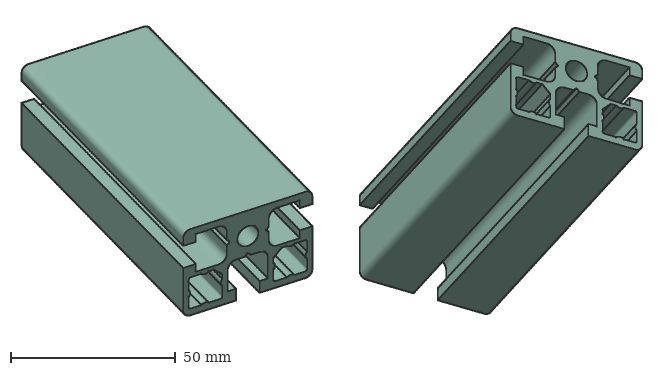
import cadquery as cq

length = 100.0
width = 45.0
height = 32.0
corner_radius = 2.5

slot_opening = 8.2
slot_width = 14.0
slot_depth = 15.2
lip_thickness = 4.4
slot_corner_radius = 3.0
groove_depth = 1.0

core_diameter = 7.3
core_z = height / 2 - 9.5

side_wall = 1.9
bottom_wall = 2.5
chamber_width = 11.7
chamber_height = 11.6
chamber_chamfer = 2.8
chamber_corner_radius = 0.8
rib_inset = 7.6
rib_half_width = 1.3
rib_height = 0.5

overlap = 1.0


def section():
    """Sketch plane across the extrusion: local x is Y, local y is Z."""
    return cq.Workplane("YZ").workplane(offset=-length / 2)


def bottom_slot_cutter():
    """T-slot cutter opening downward from the plane z = 0."""
    neck = section().center(0, (lip_thickness - overlap) / 2)
    neck = neck.rect(slot_opening, lip_thickness + overlap).extrude(length)
    chamber = section().center(0, (lip_thickness + slot_depth) / 2)
    chamber = chamber.rect(slot_width, slot_depth - lip_thickness).extrude(length)
    chamber = chamber.edges("|X and >Z").fillet(slot_corner_radius)
    groove = (
        section()
        .moveTo(-groove_depth, slot_depth)
        .lineTo(0, slot_depth + groove_depth)
        .lineTo(groove_depth, slot_depth)
        .close()
        .extrude(length)
    )
    return neck.union(chamber).union(groove)


def chamber_cutter():
    """Ribbed hollow of the +Y lower corner."""
    outer = width / 2 - side_wall
    inner = outer - chamber_width
    bottom = -height / 2 + bottom_wall
    top = bottom + chamber_height
    rib_y = width / 2 - rib_inset
    middle_z = (bottom + top) / 2
    cutter = (
        section()
        .moveTo(inner, bottom)
        .lineTo(rib_y - rib_half_width, bottom)
        .threePointArc((rib_y, bottom + rib_height), (rib_y + rib_half_width, bottom))
        .lineTo(outer, bottom)
        .lineTo(outer, middle_z - rib_half_width)
        .threePointArc((outer - rib_height, middle_z), (outer, middle_z + rib_half_width))
        .lineTo(outer, top)
        .lineTo(rib_y + rib_half_width, top)
        .threePointArc((rib_y, top - rib_height), (rib_y - rib_half_width, top))
        .lineTo(inner + chamber_chamfer, top)
        .lineTo(inner, top - chamber_chamfer)
        .lineTo(inner, middle_z + rib_half_width)
        .threePointArc((inner + rib_height, middle_z), (inner, middle_z - rib_half_width))
        .close()
        .extrude(length)
    )
    for y, z in ((inner, bottom), (outer, bottom), (outer, top)):
        rounded = cutter.edges(cq.selectors.NearestToPointSelector((0, y, z)))
        cutter = rounded.fillet(chamber_corner_radius)
    return cutter


body = cq.Workplane("XY").box(length, width, height)
body = body.edges("|X").fillet(corner_radius)

slot = bottom_slot_cutter()
body = body.cut(slot.translate((0, 0, -height / 2)))
for side in (-1, 1):
    side_slot = slot.rotate((0, 0, 0), (1, 0, 0), side * 90)
    body = body.cut(side_slot.translate((0, side * width / 2, core_z)))

chamber = chamber_cutter()
body = body.cut(chamber).cut(chamber.mirror("XZ"))

core = section().center(0, core_z).circle(core_diameter / 2).extrude(length)
result = body.cut(core)